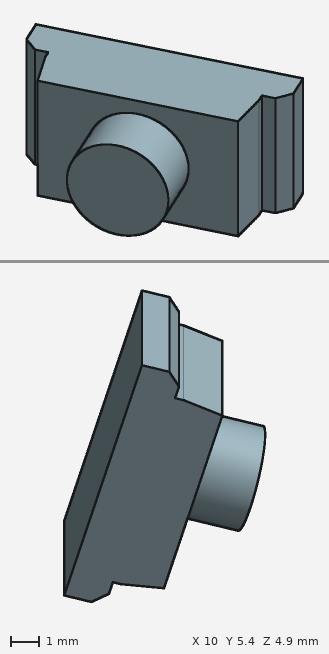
import cadquery as cq

flange_width = 10.0
flange_depth = 1.5
flange_chamfer = 0.5

block_width = 8.0
block_straight_depth = 0.3
block_front_width = 7.5
body_depth = 3.3
body_height = 4.9

pin_diameter = 3.8
pin_length = 2.1

back_y = body_depth
flange_front_y = back_y - flange_depth
chamfer_start_y = flange_front_y + flange_chamfer
taper_start_y = flange_front_y - block_straight_depth


def make_body():
    """Extrude the symmetric profile along Z, centred on Z = 0."""
    right_side = [
        (flange_width / 2, back_y),
        (flange_width / 2, chamfer_start_y),
        (flange_width / 2 - flange_chamfer, flange_front_y),
        (block_width / 2, flange_front_y),
        (block_width / 2, taper_start_y),
        (block_front_width / 2, 0),
    ]
    left_side = [(-x, y) for x, y in reversed(right_side)]
    profile = cq.Workplane("XY").polyline(right_side + left_side).close()
    return profile.extrude(body_height / 2, both=True)


def make_pin():
    """Cylinder from the body's front face toward -Y."""
    return cq.Workplane("XZ").circle(pin_diameter / 2).extrude(pin_length)


result = make_body().union(make_pin())